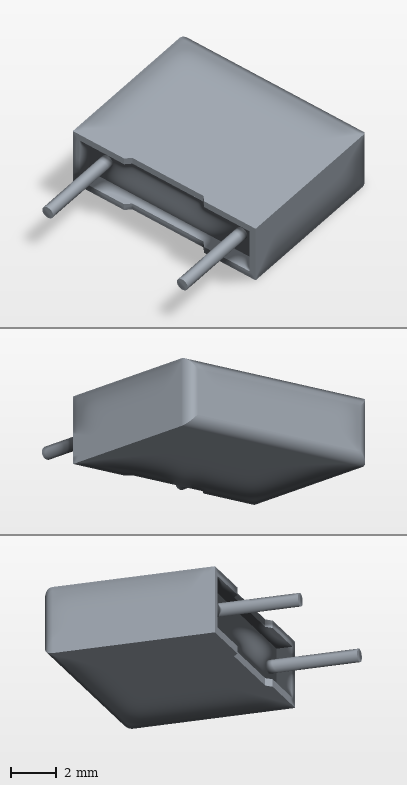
import cadquery as cq

case_width = 10.2
case_height = 3.1
overall_length = 11.6
lead_projection = 3.5
wall = 0.35
rear_radius = 0.5

notch_depth = 0.25
notch_floor_width = 3.95
notch_mouth_width = notch_floor_width + 2 * notch_depth

fill_recess = 0.74
lead_diameter = 0.6
lead_spacing = 7.5

case_length = overall_length - lead_projection
rear_y = overall_length / 2
rim_y = rear_y - case_length
tip_y = -overall_length / 2
fill_front_y = rim_y + fill_recess
fill_length = case_length - wall - fill_recess
cavity_width = case_width - 2 * wall
cavity_height = case_height - 2 * wall


def block(width, length, height, front_y):
    """Box centred in X and Z, running toward +Y from front_y."""
    return cq.Workplane("XY").box(width, length, height).translate((0, front_y + length / 2, 0))


def make_case():
    """Case with a rounded closed rear, open rim and notched long walls."""
    body = block(case_width, case_length, case_height, rim_y)
    body = body.faces(">Y").edges().fillet(rear_radius)
    cavity = block(cavity_width, case_length - wall, cavity_height, rim_y)
    notch = (
        cq.Workplane("XY")
        .polyline([
            (-notch_mouth_width / 2, rim_y),
            (-notch_floor_width / 2, rim_y + notch_depth),
            (notch_floor_width / 2, rim_y + notch_depth),
            (notch_mouth_width / 2, rim_y),
        ])
        .close()
        .extrude(case_height / 2, both=True)
    )
    return body.cut(cavity).cut(notch)


def make_fill():
    """Solid fill that occupies the cavity behind the recess."""
    return block(cavity_width, fill_length, cavity_height, fill_front_y)


def make_lead(x):
    """Round lead from its tip to the face of the fill."""
    lead_length = fill_front_y - tip_y
    axis_start = cq.Vector(x, tip_y, 0)
    return cq.Solid.makeCylinder(lead_diameter / 2, lead_length, axis_start, cq.Vector(0, 1, 0))


case = make_case()
fill = make_fill()
leads = [make_lead(side * lead_spacing / 2) for side in (-1, 1)]

result = cq.Compound.makeCompound([case.val(), fill.val(), *leads])